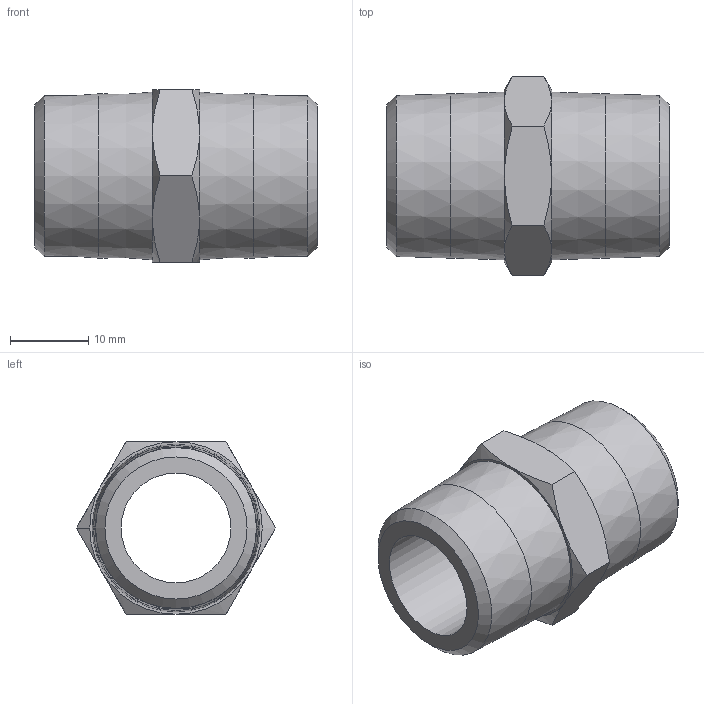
import cadquery as cq
import math

total_length = 36.0
hex_sides = 6
hex_width = 6.0
hex_across_flats = 22.0
hex_chamfer_angle = 30.0
bore_diameter = 14.0
gauge_diameter = 20.955
gauge_length = 8.16
taper = 1.0 / 16.0
end_chamfer = 1.2

half_length = total_length / 2
half_hex_width = hex_width / 2
hex_across_corners = hex_across_flats / math.cos(math.pi / hex_sides)
hex_corner_height = (hex_across_corners - hex_across_flats) / 2
hex_chamfer_length = hex_corner_height * math.tan(math.radians(hex_chamfer_angle))


def taper_radius(distance_from_end):
    """Radius of the tapered body at a given distance from its end."""
    return (gauge_diameter + (distance_from_end - gauge_length) * taper) / 2


def revolve_about_x(points):
    """Full revolution about X; unmerged faces keep the edge at the gauge plane."""
    axis_start = (0, 0, 0)
    axis_end = (1, 0, 0)
    return cq.Workplane("XY").polyline(points).close().revolve(360, axis_start, axis_end, clean=False)


def make_tapered_end(side):
    """Tapered spigot with a chamfered tip; side is -1 or +1 along X."""
    chamfer_radius = taper_radius(end_chamfer)
    root_radius = taper_radius(half_length - half_hex_width)
    return revolve_about_x([
        (0, 0),
        (side * half_length, 0),
        (side * half_length, chamfer_radius - end_chamfer),
        (side * (half_length - end_chamfer), chamfer_radius),
        (side * (half_length - gauge_length), taper_radius(gauge_length)),
        (side * half_hex_width, root_radius),
        (0, root_radius),
    ])


def make_hexagon():
    """Hexagon with flats facing +Z and -Z and conically chamfered corners."""
    prism = (
        cq.Workplane("YZ")
        .workplane(offset=-half_hex_width)
        .polygon(hex_sides, hex_across_corners)
        .extrude(hex_width)
    )
    face_radius = hex_across_flats / 2
    corner_radius = hex_across_corners / 2
    chamfer_start = half_hex_width - hex_chamfer_length
    envelope = revolve_about_x([
        (-half_hex_width, 0),
        (-half_hex_width, face_radius),
        (-chamfer_start, corner_radius),
        (chamfer_start, corner_radius),
        (half_hex_width, face_radius),
        (half_hex_width, 0),
    ])
    return prism.intersect(envelope, clean=False)


def make_bore():
    """Plain bore running through the full length."""
    return (
        cq.Workplane("YZ")
        .workplane(offset=-half_length)
        .circle(bore_diameter / 2)
        .extrude(total_length)
    )


body = make_hexagon()
for side in (-1, 1):
    body = body.union(make_tapered_end(side), clean=False)
result = body.cut(make_bore(), clean=False)